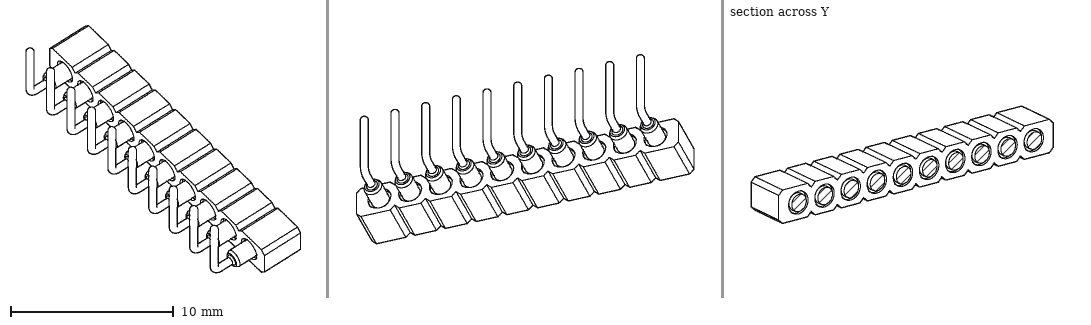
import cadquery as cq
import math

PIN_COUNT = 10
LENGTH = 21.0
DEPTH = 2.85
HEIGHT = 2.2
GROOVE_SIZE = 0.3

PIN_REACH = 5.85
PIN_TOP = 5.4

CLEARANCE_DIAMETER = 1.5
CLEARANCE_DEPTH = 0.2
BARREL_DIAMETER = 1.15
BARREL_LENGTH = 1.36
BARREL_CHAMFER_LENGTH = 0.19
BARREL_CHAMFER_INSET = 0.1
NECK_LENGTH = 0.13
NECK_DIAMETER = 0.71
PIN_DIAMETER = 0.5
BEND_RADIUS = 0.45
TIP_FILLET = 0.2

PITCH = LENGTH / (PIN_COUNT + 0.5)
FIRST_PIN_X = -PITCH * (PIN_COUNT - 1) / 2
BARREL_RADIUS = BARREL_DIAMETER / 2
PIN_RADIUS = PIN_DIAMETER / 2
AXIS_Z = HEIGHT / 2
PIN_Y = PIN_RADIUS - PIN_REACH
BARREL_END_Y = -DEPTH - BARREL_LENGTH
RECESS_FLOOR_Y = -DEPTH + CLEARANCE_DEPTH


def housing():
    """Bar with chamfered long edges and V grooves halfway between the pins."""
    bar = cq.Workplane("XY").box(LENGTH, DEPTH, HEIGHT, centered=(True, False, False))
    bar = bar.translate((0, -DEPTH, 0)).edges("|Y").chamfer(GROOVE_SIZE)
    side = GROOVE_SIZE * math.sqrt(2)
    cutter = cq.Workplane("XY").box(side, DEPTH, side).rotate((0, 0, 0), (0, 1, 0), 45)
    for gap in range(PIN_COUNT - 1):
        x = FIRST_PIN_X + (gap + 0.5) * PITCH
        for z in (0, HEIGHT):
            bar = bar.cut(cutter.translate((x, -DEPTH / 2, z)))
    return bar


def recess():
    """Clearance around a barrel, open to the housing front."""
    plane = cq.Workplane("XZ", origin=(0, RECESS_FLOOR_Y, AXIS_Z))
    return plane.circle(CLEARANCE_DIAMETER / 2).extrude(CLEARANCE_DEPTH)


def barrel():
    """Turned barrel from the recess floor, chamfered and necked down to the pin."""
    chamfer_y = BARREL_END_Y + BARREL_CHAMFER_LENGTH
    profile = [
        (0, RECESS_FLOOR_Y),
        (BARREL_RADIUS, RECESS_FLOOR_Y),
        (BARREL_RADIUS, chamfer_y),
        (BARREL_RADIUS - BARREL_CHAMFER_INSET, BARREL_END_Y),
        (NECK_DIAMETER / 2, BARREL_END_Y),
        (PIN_RADIUS, BARREL_END_Y - NECK_LENGTH),
        (0, BARREL_END_Y - NECK_LENGTH),
    ]
    turned = cq.Workplane("XY").polyline(profile).close().revolve(360, (0, 0, 0), (0, 1, 0))
    return turned.translate((0, 0, AXIS_Z))


def pin():
    """Round pin running out of the barrel, bent upright and rounded at the tip."""
    bend_start_y = PIN_Y + BEND_RADIUS
    bend_end_z = AXIS_Z + BEND_RADIUS
    bend_offset = BEND_RADIUS * (1 - math.sqrt(0.5))
    path = (
        cq.Workplane("YZ")
        .moveTo(BARREL_END_Y, AXIS_Z)
        .lineTo(bend_start_y, AXIS_Z)
        .threePointArc((PIN_Y + bend_offset, AXIS_Z + bend_offset), (PIN_Y, bend_end_z))
        .lineTo(PIN_Y, PIN_TOP)
    )
    wire = cq.Workplane("XZ", origin=(0, BARREL_END_Y, AXIS_Z)).circle(PIN_RADIUS).sweep(path)
    return wire.faces(">Z").edges().fillet(TIP_FILLET)


contact = barrel().union(pin())
clearance = recess()
result = housing()
for index in range(PIN_COUNT):
    place = (FIRST_PIN_X + index * PITCH, 0, 0)
    result = result.cut(clearance.translate(place)).union(contact.translate(place))